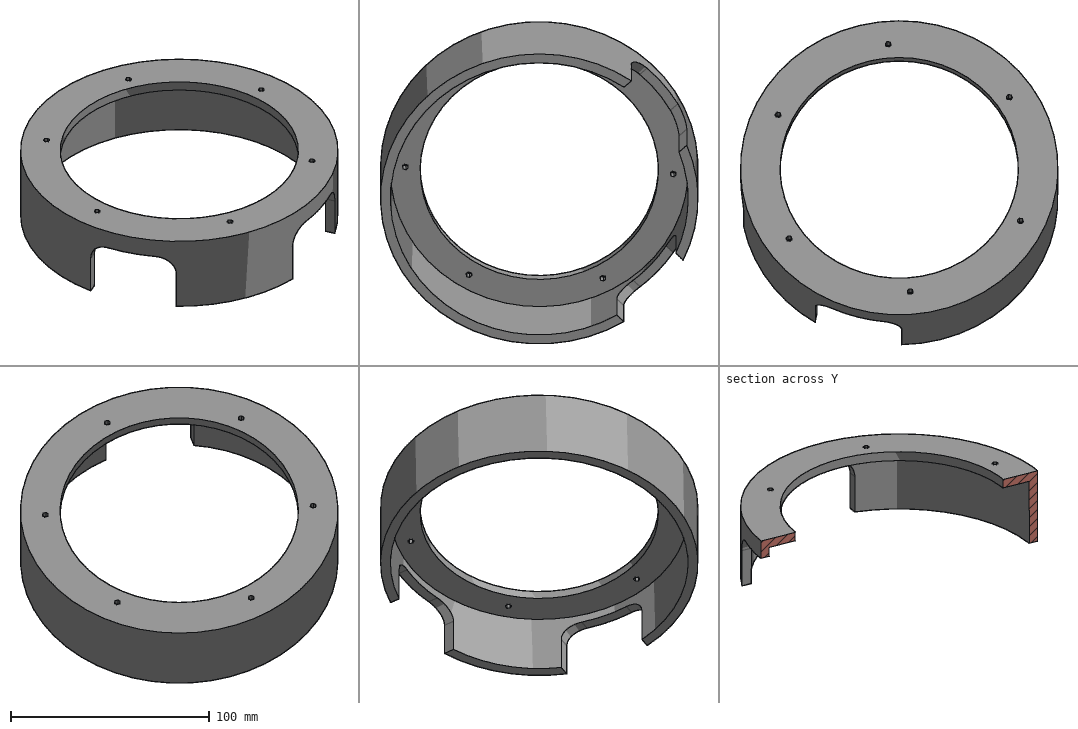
import cadquery as cq
import math

outer_radius = 80.0
height = 40.0
wall_thickness = 5.0
flange_thickness = 5.0
opening_radius = 60.0

hole_count = 6
hole_sides = 6
hole_across_corners = 3.0
hole_circle_radius = 67.5
first_hole_angle = 15.0

notch_width = 45.0
notch_height = 30.0
notch_corner_radius = 10.0
notch_offset = 7.0


def make_shell():
    body = cq.Workplane("XY").circle(outer_radius).extrude(height)
    cavity = (
        cq.Workplane("XY")
        .circle(outer_radius - wall_thickness)
        .extrude(height - flange_thickness)
    )
    opening = cq.Workplane("XY").circle(opening_radius).extrude(height)
    return body.cut(cavity).cut(opening)


def hole_centre(index):
    angle = math.radians(first_hole_angle + index * 360 / hole_count)
    return (hole_circle_radius * math.cos(angle), hole_circle_radius * math.sin(angle))


def make_screw_holes():
    """Hexagonal cutters on the hole circle, all turned the same way."""
    hexagon = cq.Sketch().regularPolygon(hole_across_corners / 2, hole_sides)
    centres = [hole_centre(index) for index in range(hole_count)]
    return cq.Workplane("XY").pushPoints(centres).placeSketch(hexagon).extrude(height)


def make_notch(turn, shift):
    """Round-cornered block crossing the -Y wall, shifted sideways, then turned about Z."""
    block = (
        cq.Workplane("XY")
        .box(notch_width, outer_radius, notch_height, centered=(True, False, False))
        .edges("|Y and >Z")
        .fillet(notch_corner_radius)
        .translate((shift, -outer_radius, 0))
    )
    return block.rotate((0, 0, 0), (0, 0, 1), turn)


front_notch = make_notch(turn=0, shift=notch_offset)
side_notch = make_notch(turn=90, shift=-notch_offset)

result = make_shell().cut(make_screw_holes()).cut(front_notch).cut(side_notch)